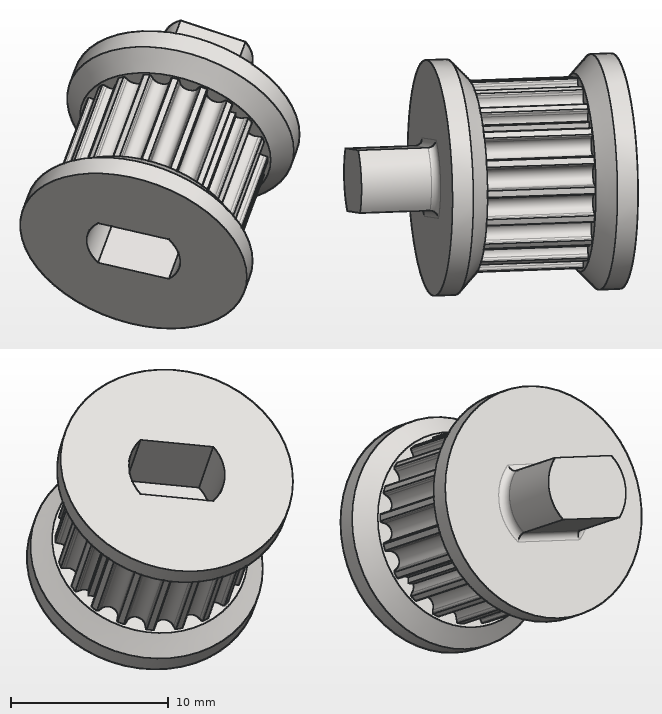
import cadquery as cq
import math

total_length = 17.0
stub_length = 5.0
body_length = total_length - stub_length

flange_diameter = 15.0
flange_foot_diameter = 12.61
rim_width = 1.35
cone_width = 1.15
flange_width = rim_width + cone_width

tooth_count = 20
tooth_tip_diameter = 12.22
groove_mouth_half_width = 0.75
lip_half_width = 0.66
lip_depth = 0.08
lip_radius = 0.1
flank_radius = 1.0
flank_depth = 0.24
groove_depth = 0.75
root_radius = 0.61
cutter_overrun = 0.51

core_side = 7.99

stub_diameter = 5.9
stub_across_flats = 4.0
stub_twist = 180 / tooth_count
stub_fillet = 0.5
selection_margin = 0.08
socket_diameter = 6.19
socket_across_flats = 4.05
socket_depth = stub_length


def double_flat_bar(diameter, across_flats, y_start, length):
    """Round bar along +Y with flats facing up and down."""
    end_plane = cq.Workplane("XZ", origin=(0, y_start, 0))
    round_bar = end_plane.circle(diameter / 2).extrude(-length)
    flat_limits = end_plane.rect(diameter, across_flats).extrude(-length)
    return round_bar.intersect(flat_limits)


def pulley_blank():
    """Two coned flanges joined by the cylinder that carries the teeth."""
    rim = flange_diameter / 2
    foot = flange_foot_diameter / 2
    tip = tooth_tip_diameter / 2
    half_profile = [
        (0, 0),
        (rim, 0),
        (rim, rim_width),
        (foot, flange_width),
        (tip, flange_width),
        (tip, body_length - flange_width),
        (foot, body_length - flange_width),
        (rim, body_length - rim_width),
        (rim, body_length),
        (0, body_length),
    ]
    return cq.Workplane("XY").polyline(half_profile).close().revolve(360, (0, 0, 0), (0, 1, 0))


def groove_cutter():
    """Rounded belt groove, open towards +Z, spanning the gap between the flanges."""
    mouth_z = math.sqrt((tooth_tip_diameter / 2) ** 2 - groove_mouth_half_width**2)
    lip_z = mouth_z - lip_depth
    flank_z = mouth_z - flank_depth
    bottom_z = mouth_z - groove_depth
    top_z = mouth_z + cutter_overrun
    root_center_z = bottom_z + root_radius
    flank_half_width = math.sqrt(root_radius**2 - (root_center_z - flank_z) ** 2)
    return (
        cq.Workplane("XZ", origin=(0, flange_width, 0))
        .moveTo(-groove_mouth_half_width, top_z)
        .lineTo(-groove_mouth_half_width, mouth_z)
        .radiusArc((-lip_half_width, lip_z), lip_radius)
        .radiusArc((-flank_half_width, flank_z), -flank_radius)
        .threePointArc((0, bottom_z), (flank_half_width, flank_z))
        .radiusArc((lip_half_width, lip_z), -flank_radius)
        .radiusArc((groove_mouth_half_width, mouth_z), lip_radius)
        .lineTo(groove_mouth_half_width, top_z)
        .close()
        .extrude(-(body_length - 2 * flange_width))
    )


def cut_grooves(body):
    """Cut the grooves evenly round the axis, leaving a tooth pointing straight up."""
    pitch_angle = 360 / tooth_count
    cutter = groove_cutter()
    for index in range(tooth_count):
        angle = (index + 0.5) * pitch_angle
        body = body.cut(cutter.rotate((0, 0, 0), (0, 1, 0), angle))
    return body


def add_core(body):
    """Fill the corners of the square core that stand proud of the groove floors."""
    core = cq.Workplane("XZ").rect(core_side, core_side).extrude(-body_length)
    return body.union(core)


def add_stub(body):
    """Join the twisted drive stub to the back face and fillet its foot."""
    stub = double_flat_bar(stub_diameter, stub_across_flats, body_length, stub_length)
    body = body.union(stub.rotate((0, 0, 0), (0, 1, 0), stub_twist))
    reach = stub_diameter / 2 + selection_margin
    foot_edges = cq.selectors.BoxSelector(
        (-reach, body_length - selection_margin, -reach),
        (reach, body_length + selection_margin, reach),
        boundingbox=True,
    )
    return body.edges(foot_edges).fillet(stub_fillet)


body = add_stub(pulley_blank())
body = cut_grooves(body)
body = add_core(body)
result = body.cut(double_flat_bar(socket_diameter, socket_across_flats, 0, socket_depth))